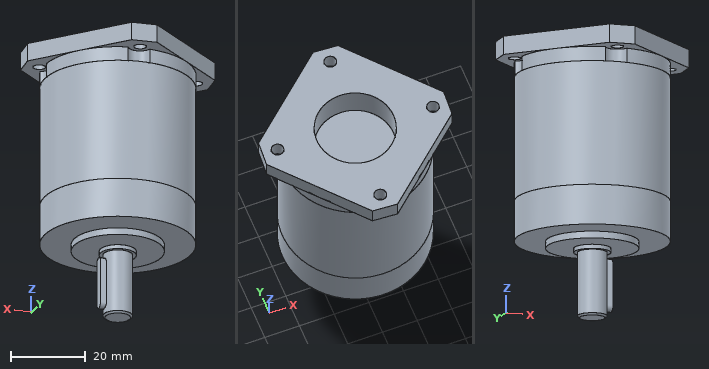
import cadquery as cq


BODY_DIAMETER = 42.0

SHAFT_DIAMETER = 8.0
SHAFT_LENGTH = 18.0
SHAFT_CHAMFER = 0.5
COLLAR_DIAMETER = 10.0
COLLAR_HEIGHT = 1.1
BOSS_DIAMETER = 25.05
BOSS_HEIGHT = 1.9
CAP_HEIGHT = 10.95

KEY_WIDTH = 3.0
KEY_LENGTH = 14.6
KEY_START = 1.95
KEY_PROJECTION = 1.4

RING_HEIGHT = 34.05

NECK_HEIGHT = 3.9
PLATE_THICKNESS = 5.1
PLATE_SIDE = BODY_DIAMETER
PLATE_CORNER_CHAMFER = 5.0
PLATE_ANGLE = 41.4
BORE_DIAMETER = 22.05
SCREW_SPACING = 31.0
SCREW_HOLE_DIAMETER = 3.4
SCREW_RELIEF_DIAMETER = 6.45

COLLAR_BOTTOM = SHAFT_LENGTH
BOSS_BOTTOM = COLLAR_BOTTOM + COLLAR_HEIGHT
CAP_BOTTOM = BOSS_BOTTOM + BOSS_HEIGHT
RING_BOTTOM = CAP_BOTTOM + CAP_HEIGHT
NECK_BOTTOM = RING_BOTTOM + RING_HEIGHT
PLATE_BOTTOM = NECK_BOTTOM + NECK_HEIGHT


def disc(diameter, bottom, height):
    """Solid cylinder on the Z axis."""
    return cq.Workplane("XY").workplane(offset=bottom).circle(diameter / 2).extrude(height)


def make_key():
    """Round-ended key that reaches from the shaft axis out past the shaft surface."""
    reach = SHAFT_DIAMETER / 2 + KEY_PROJECTION
    middle = KEY_START + KEY_LENGTH / 2
    return cq.Workplane("YZ").center(0, middle).slot2D(KEY_LENGTH, KEY_WIDTH, 90).extrude(reach)


def make_output_housing():
    """Cap with its pilot boss, shaft collar and keyed shaft."""
    shaft = disc(SHAFT_DIAMETER, 0, SHAFT_LENGTH).faces("<Z").chamfer(SHAFT_CHAMFER)
    collar = disc(COLLAR_DIAMETER, COLLAR_BOTTOM, COLLAR_HEIGHT)
    boss = disc(BOSS_DIAMETER, BOSS_BOTTOM, BOSS_HEIGHT)
    cap = disc(BODY_DIAMETER, CAP_BOTTOM, CAP_HEIGHT)
    return shaft.union(make_key()).union(collar).union(boss).union(cap)


def make_ring_housing():
    """Plain cylinder between the cap and the flange; its top closes the flange bore."""
    return disc(BODY_DIAMETER, RING_BOTTOM, RING_HEIGHT)


def screw_cylinders(diameter, bottom, height):
    """One cylinder at each corner of the screw pattern."""
    return (
        cq.Workplane("XY").workplane(offset=bottom)
        .rect(SCREW_SPACING, SCREW_SPACING, forConstruction=True).vertices()
        .circle(diameter / 2).extrude(height)
    )


def make_flange():
    """Square plate on a round neck, bored through and turned about Z."""
    plate = (
        cq.Workplane("XY").workplane(offset=PLATE_BOTTOM)
        .rect(PLATE_SIDE, PLATE_SIDE).extrude(PLATE_THICKNESS)
        .edges("|Z").chamfer(PLATE_CORNER_CHAMFER)
    )
    neck = disc(BODY_DIAMETER, NECK_BOTTOM, NECK_HEIGHT)
    neck = neck.cut(screw_cylinders(SCREW_RELIEF_DIAMETER, NECK_BOTTOM, NECK_HEIGHT))
    flange = plate.union(neck)
    flange = flange.cut(screw_cylinders(SCREW_HOLE_DIAMETER, PLATE_BOTTOM, PLATE_THICKNESS))
    flange = flange.cut(disc(BORE_DIAMETER, NECK_BOTTOM, NECK_HEIGHT + PLATE_THICKNESS))
    return flange.rotate((0, 0, 0), (0, 0, 1), PLATE_ANGLE)


output_housing = make_output_housing()
ring_housing = make_ring_housing()
flange = make_flange()

result = cq.Compound.makeCompound([output_housing.val(), ring_housing.val(), flange.val()])